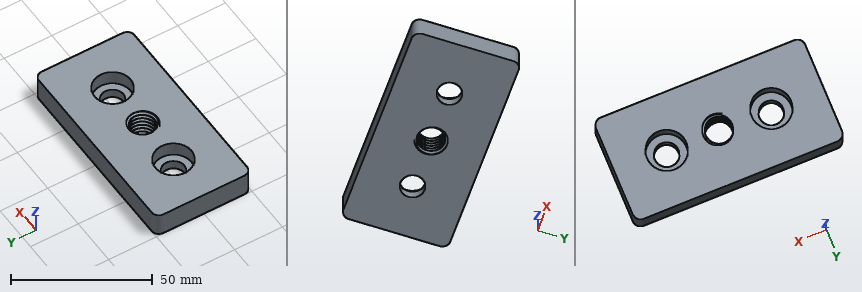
import cadquery as cq
import math

length = 80.0
width = 40.0
thickness = 10.0
corner_radius = 3.0

screw_spacing = 40.0
screw_hole_diameter = 9.0
counterbore_diameter = 15.0
counterbore_depth = 6.0

thread_diameter = 12.0
thread_pitch = 1.8
flank_slope = math.tan(math.radians(60 / 2))
sharp_height = thread_pitch / 2 / flank_slope
thread_depth = sharp_height * 5 / 8
bore_diameter = thread_diameter - 2 * thread_depth
root_flat = thread_pitch / 4

groove_overlap = 0.1


def make_plate():
    plate = cq.Workplane("XY").box(length, width, thickness, centered=(True, True, False))
    return plate.edges("|Z").fillet(corner_radius)


def make_thread_groove():
    """Helical groove whose root crosses the top face on the +X side."""
    turns = math.ceil(thickness / thread_pitch) + 2
    start_z = thickness - (turns - 1) * thread_pitch
    root_radius = thread_diameter / 2
    mouth_radius = bore_diameter / 2 - groove_overlap
    half_root = root_flat / 2
    half_mouth = half_root + (root_radius - mouth_radius) * flank_slope

    helix = cq.Wire.makeHelix(thread_pitch, turns * thread_pitch, root_radius)
    profile = cq.Workplane("XZ").polyline([
        (mouth_radius, -half_mouth),
        (root_radius, -half_root),
        (root_radius, half_root),
        (mouth_radius, half_mouth),
    ]).close()
    groove = profile.sweep(cq.Workplane(obj=helix), isFrenet=True)
    return groove.translate((0, 0, start_z))


def cut_threaded_hole(plate):
    bore = cq.Workplane("XY").circle(bore_diameter / 2).extrude(thickness)
    groove = make_thread_groove().intersect(plate)
    return plate.cut(bore).cut(groove)


def cut_screw_holes(plate):
    return (
        plate.faces(">Z")
        .workplane(origin=(0, 0, thickness))
        .pushPoints([(-screw_spacing / 2, 0), (screw_spacing / 2, 0)])
        .cboreHole(screw_hole_diameter, counterbore_diameter, counterbore_depth)
    )


threaded_plate = cut_threaded_hole(make_plate())
result = cut_screw_holes(threaded_plate).solids()